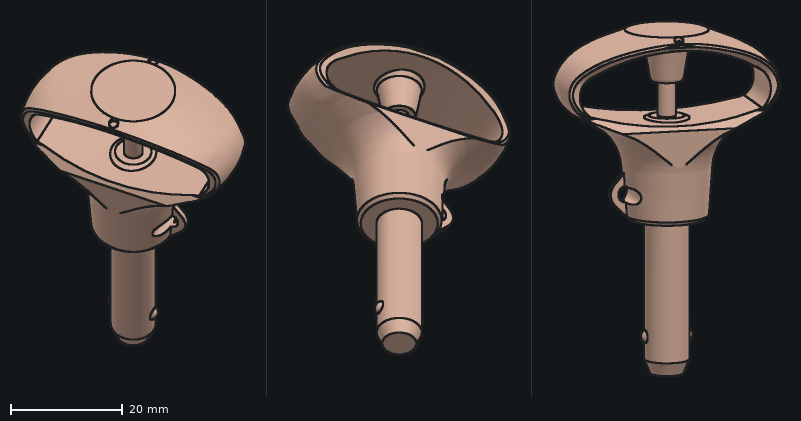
import cadquery as cq

shank_radius = 4.1
tip_radius = 3.1
tip_height = 2.6
ball_radius = 1.3
ball_offset = 3.5
ball_height = 6.9

collar_bottom = 28.35
collar_bottom_radius = 6.9
collar_edge_radius = 7.6
collar_edge_height = 29.1
neck_radius = 8.25
neck_height = 38.1
handle_top = 63.0
handle_radius = 20.4
widest_height = 52.6
crown_radius = 7.55
neck_curve_middle = (9.45, 42.0)
neck_curve_end = (12.0, 44.9)
underside_edge = (16.05, 47.4)
side_points = [(18.85, 49.3), (handle_radius, widest_height), (18.35, 57.25), (13.3, 60.55)]

handle_depth = 19.2
flat_bottom = (8.4, 38.75)
lip = (8.75, 46.0)
flank_foot = (6.55, 48.6)
flank_points = [(6.1, 50.7), (6.0, 52.8), (6.1, 55.25), (7.05, 57.15), (9.6, 61.35)]
flank_end = (10.7, 63.25)
rim_chamfer = 0.45
rim_min_rise = 3.15

opening_half_width = 17.75
opening_top = 60.75
opening_bottom = 46.75
opening_upper_corner = (15.3, 56.3)
opening_lower_corner = (16.05, 48.95)

stem_radius = 1.7
button_bottom = 53.7
button_bottom_radius = 2.9
button_edge_radius = 3.1
button_edge_height = 54.2
button_top = 59.7
button_top_radius = 4.05
button_flare_radius = 4.7
guide_radius = 3.3
guide_base_radius = 4.4
guide_top = 47.25

dimple_radius = 0.8
dimple_offset = crown_radius + dimple_radius
dimple_floor = 62.25

ear_x = 7.6
ear_z = 33.25
ear_radius = 2.95
ear_hole_radius = 1.5
ear_thickness = 1.25
ear_top = 37.2
ear_root_x = 8.1
ear_inner_x = 5.7


def mirrored(points):
    """Same points on the opposite side of the vertical axis."""
    return [(-across, up) for across, up in points]


def make_round_body():
    """Turned collar, neck and domed head; its seam is turned away from the ear hole."""
    return (
        cq.Workplane("XZ")
        .moveTo(0, collar_bottom)
        .lineTo(collar_bottom_radius, collar_bottom)
        .lineTo(collar_edge_radius, collar_edge_height)
        .lineTo(neck_radius, neck_height)
        .threePointArc(neck_curve_middle, neck_curve_end)
        .lineTo(*underside_edge)
        .spline(side_points + [(crown_radius, handle_top)], includeCurrent=True)
        .lineTo(0, handle_top)
        .close()
        .revolve(360, (0, 0), (0, 1))
        .rotate((0, 0, 0), (0, 0, 1), 180)
    )


def make_flanks():
    """Waisted side profile running the full width of the handle."""
    flank_curve = flank_points + [flank_end]
    return_curve = flank_curve[-2::-1] + [flank_foot]
    base = (flat_bottom[0], collar_bottom)
    lower_side = [flank_foot, lip, flat_bottom, base]
    return (
        cq.Workplane("YZ")
        .polyline(mirrored(lower_side[::-1]))
        .spline(mirrored(flank_curve), includeCurrent=True)
        .lineTo(*flank_end)
        .spline(return_curve, includeCurrent=True)
        .polyline(lower_side[1:], includeCurrent=True)
        .close()
        .extrude(2 * handle_radius, both=True)
    )


def is_rim_edge(edge):
    """Curved edges where the upper flanks meet the domed head."""
    box = edge.BoundingBox()
    above_foot = box.zmin > underside_edge[1]
    return edge.geomType() == "BSPLINE" and above_foot and box.zlen > rim_min_rise


def make_opening():
    """Prism through the handle, outlined by four arcs."""
    upper_x, upper_z = opening_upper_corner
    lower_x, lower_z = opening_lower_corner
    return (
        cq.Workplane("XZ")
        .moveTo(-upper_x, upper_z)
        .threePointArc((0, opening_top), (upper_x, upper_z))
        .threePointArc((opening_half_width, widest_height), (lower_x, lower_z))
        .threePointArc((0, opening_bottom), (-lower_x, lower_z))
        .threePointArc((-opening_half_width, widest_height), (-upper_x, upper_z))
        .close()
        .extrude(handle_depth, both=True)
    )


def make_handle():
    """Head with waisted, chamfered flanks and a finger opening."""
    head = make_round_body().intersect(make_flanks())
    rim_edges = [edge for edge in head.edges().vals() if is_rim_edge(edge)]
    head = head.newObject(rim_edges).chamfer(rim_chamfer)
    depth_limit = cq.Workplane("XY").box(
        4 * handle_radius, handle_depth, handle_top, centered=(True, True, False)
    )
    return head.intersect(depth_limit).cut(make_opening())


def make_pin():
    """Shank, stem guide, stem and button as one turned piece."""
    return (
        cq.Workplane("XZ")
        .polyline([
            (0, 0),
            (tip_radius, 0),
            (shank_radius, tip_height),
            (shank_radius, collar_edge_height),
            (guide_base_radius, opening_bottom),
            (guide_radius, guide_top),
            (stem_radius, guide_top),
            (stem_radius, button_bottom),
            (button_bottom_radius, button_bottom),
            (button_edge_radius, button_edge_height),
            (button_top_radius, button_top),
            (button_flare_radius, opening_top),
            (0, opening_top),
        ])
        .close()
        .revolve(360, (0, 0), (0, 1))
    )


def make_ear():
    """Plate tapering from a round outer end into the collar."""
    reach = ear_radius * 0.5 ** 0.5
    return (
        cq.Workplane("XZ")
        .moveTo(ear_inner_x, collar_bottom)
        .lineTo(collar_bottom_radius, collar_bottom)
        .lineTo(ear_x + reach, ear_z - reach)
        .threePointArc((ear_x + ear_radius, ear_z), (ear_x + reach, ear_z + reach))
        .lineTo(ear_root_x, ear_top)
        .lineTo(ear_inner_x, ear_top)
        .close()
        .extrude(ear_thickness / 2, both=True)
    )


def make_ear_hole():
    """Lanyard hole through the ear and the side of the collar."""
    return (
        cq.Workplane("XZ", origin=(ear_x, 0, ear_z))
        .circle(ear_hole_radius)
        .extrude(handle_depth, both=True)
    )


def make_dimple(side):
    """Shallow round recess in the dome, on the given Y side."""
    return (
        cq.Workplane("XY", origin=(0, side * dimple_offset, dimple_floor))
        .circle(dimple_radius)
        .extrude(handle_top - dimple_floor)
    )


def make_ball(side):
    """Locking ball in the shank, on the given X side."""
    return cq.Workplane("XY").sphere(ball_radius).translate((side * ball_offset, 0, ball_height))


handle = make_handle().union(make_ear()).cut(make_ear_hole())
pin = make_pin()
for side in (-1, 1):
    handle = handle.cut(make_dimple(side))
    pin = pin.union(make_ball(side))

result = handle.union(pin)